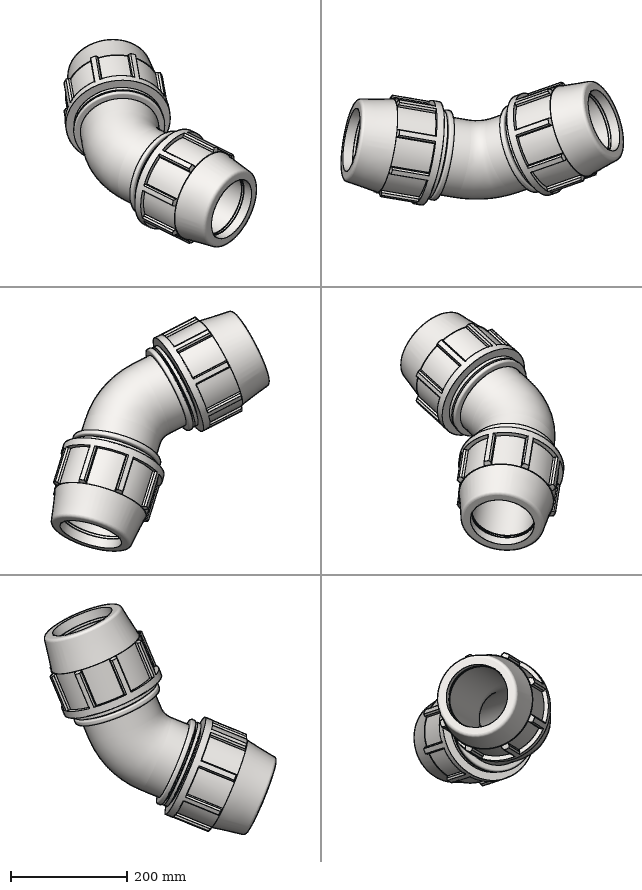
import cadquery as cq


BEND_ANGLE = 45
BEND_RADIUS = 100.0
PIPE_RADIUS = 135.5 / 2
BORE_RADIUS = 110.0 / 2
ARM_LENGTH = 195.5

INNER_COLLAR_RADIUS = 157.5 / 2
INNER_COLLAR_START = 32.5
INNER_COLLAR_WIDTH = 9
INNER_COLLAR_ROUND = 2.5
OUTER_COLLAR_RADIUS = 154 / 2
OUTER_COLLAR_START = 45.0
OUTER_COLLAR_WIDTH = 6.5

FLANGE_RADIUS = 181.0 / 2
FLANGE_START = 54.5
FLANGE_END = 67.5
BARREL_RADIUS = 82.5
BARREL_END = 135.5
NOSE_BASE_RADIUS = 81.5
NOSE_MIDDLE_RADIUS = 76.0
NOSE_TIP_RADIUS = 71.5
NOSE_TIP_ROUND = 5.5

RIB_COUNT = 8
RIB_TOP_WIDTH = 9
RIB_WIDTH = 13.0
RIB_BEVEL_HEIGHT = 4.0
RIB_END_CHAMFER = 2.5

CUT_MARGIN = 1.0

GROOVE_DEPTH = 1.5
GROOVE_WIDTH = 4.5
MOUTH_LENGTH = 17.5


def axial_disc(radius, start, length):
    """Solid cylinder on the X axis."""
    return cq.Workplane("YZ", origin=(start, 0, 0)).circle(radius).extrude(length)


def make_collars():
    inner = axial_disc(INNER_COLLAR_RADIUS, INNER_COLLAR_START, INNER_COLLAR_WIDTH)
    inner = inner.edges().fillet(INNER_COLLAR_ROUND)
    outer = axial_disc(OUTER_COLLAR_RADIUS, OUTER_COLLAR_START, OUTER_COLLAR_WIDTH)
    return inner.union(outer)


def make_nut_blank():
    """Revolved flange, barrel at full rib height and slightly hollow nose."""
    profile = (
        cq.Workplane("XY")
        .moveTo(FLANGE_START, 0)
        .lineTo(FLANGE_START, FLANGE_RADIUS)
        .lineTo(BARREL_END - RIB_END_CHAMFER, FLANGE_RADIUS)
        .lineTo(BARREL_END, BARREL_RADIUS)
        .lineTo(BARREL_END, NOSE_BASE_RADIUS)
        .threePointArc(
            ((BARREL_END + ARM_LENGTH) / 2, NOSE_MIDDLE_RADIUS),
            (ARM_LENGTH, NOSE_TIP_RADIUS),
        )
        .lineTo(ARM_LENGTH, 0)
        .close()
    )
    blank = profile.revolve(360, (0, 0, 0), (1, 0, 0))
    return blank.faces(">X").edges().fillet(NOSE_TIP_ROUND)


def make_grip_pockets():
    """Ring around the barrel with gaps left for the bevelled ribs, which end flush with the flange."""
    pocket_length = BARREL_END - FLANGE_END
    ring = axial_disc(FLANGE_RADIUS + CUT_MARGIN, FLANGE_END, pocket_length)
    ring = ring.cut(axial_disc(BARREL_RADIUS, FLANGE_END, pocket_length))
    bevel_slope = (RIB_WIDTH - RIB_TOP_WIDTH) / 2 / RIB_BEVEL_HEIGHT
    outer_reach = 2 * CUT_MARGIN
    outer_radius = FLANGE_RADIUS + outer_reach
    outer_half_width = RIB_TOP_WIDTH / 2 - bevel_slope * outer_reach
    bevel_radius = FLANGE_RADIUS - RIB_BEVEL_HEIGHT
    section = [
        (-RIB_WIDTH / 2, 0),
        (-RIB_WIDTH / 2, bevel_radius),
        (-outer_half_width, outer_radius),
        (outer_half_width, outer_radius),
        (RIB_WIDTH / 2, bevel_radius),
        (RIB_WIDTH / 2, 0),
    ]
    rib = cq.Workplane("YZ", origin=(FLANGE_END, 0, 0)).polyline(section).close().extrude(pocket_length)
    pitch = 360 / RIB_COUNT
    for index in range(RIB_COUNT):
        ring = ring.cut(rib.rotate((0, 0, 0), (1, 0, 0), (index + 0.5) * pitch))
    return ring


def make_nut():
    return make_nut_blank().cut(make_grip_pockets())


def make_arm_outside():
    pipe = axial_disc(PIPE_RADIUS, 0, ARM_LENGTH - NOSE_TIP_ROUND)
    return pipe.union(make_collars()).union(make_nut())


def make_arm_bore():
    groove_radius = BORE_RADIUS + GROOVE_DEPTH
    groove_start = ARM_LENGTH - MOUTH_LENGTH - GROOVE_WIDTH
    bore = axial_disc(BORE_RADIUS, 0, ARM_LENGTH)
    return bore.union(axial_disc(groove_radius, groove_start, GROOVE_WIDTH))


def make_bend(radius):
    """Round rod curving from the origin toward the second arm."""
    section = cq.Workplane("YZ").circle(radius)
    return section.revolve(BEND_ANGLE, (BEND_RADIUS, 0, 0), (BEND_RADIUS, -1, 0))


def mirror_arm(arm):
    """Reflect an arm across the middle plane of the bend."""
    mirrored = arm.mirror("YZ")
    return mirrored.rotate((0, BEND_RADIUS, 0), (0, BEND_RADIUS, 1), -BEND_ANGLE)


arm_outside = make_arm_outside()
arm_bore = make_arm_bore()
outside = make_bend(PIPE_RADIUS).union(arm_outside).union(mirror_arm(arm_outside))
passage = make_bend(BORE_RADIUS).union(arm_bore).union(mirror_arm(arm_bore))
result = outside.cut(passage)